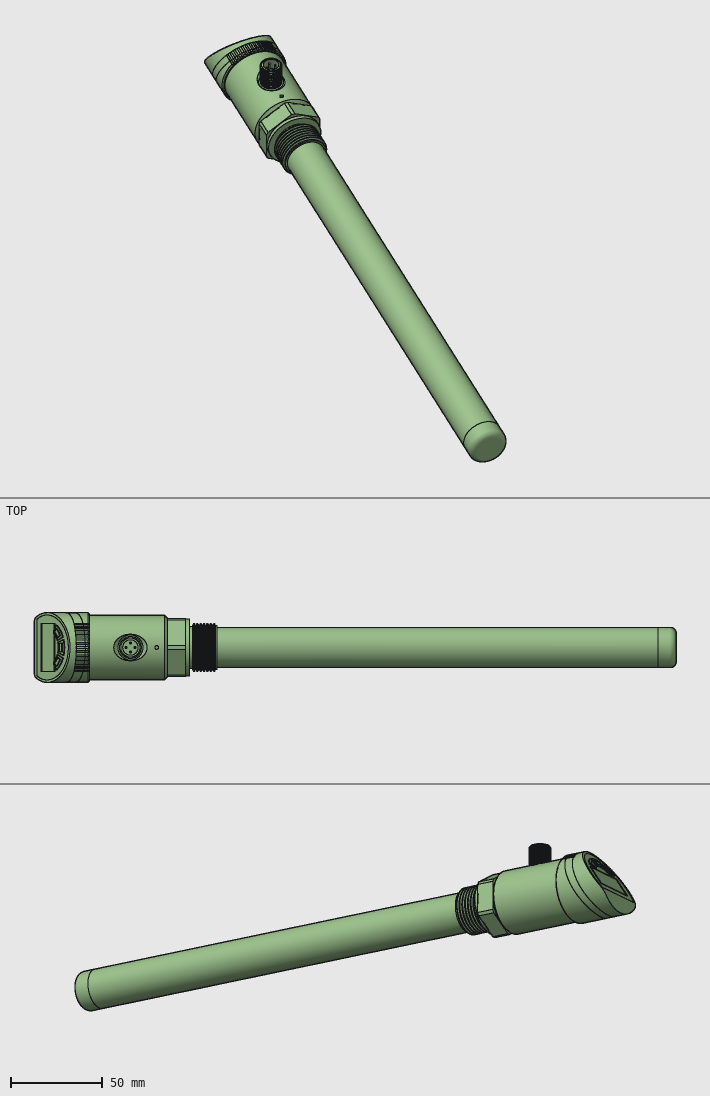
import cadquery as cq
import math

TOTAL_LENGTH = 350.0

HEAD_DIA = 38.0
HEAD_END = 30.0
SLOPE_BOTTOM_Z = -11.0
SLOPE_TOP_X = 19.5
NOSE_RADIUS = 9.8
COLLAR_CHAMFER = 0.7

BAND_REACH = 21.0
BAND_BOTTOM_X = 6.5
BAND_MIDDLE_X = 17.0
BAND_TOP_X = 23.5
BAND_WIDTH = 5.0

GRIP_COUNT = 13
GRIP_HALF_ANGLE = 42.0
GRIP_WIDTH = 1.0
GRIP_DEPTH = 0.5

PANEL_DIA = 35.5
PANEL_BOTTOM_Z = -8.5
PANEL_THICKNESS = 1.5
WINDOW_WIDTH = 26.0
WINDOW_BOTTOM_Z = -5.0
WINDOW_TOP_Z = 6.0
WINDOW_DEPTH = 0.5
BUTTON_RADIUS = 12.2
BUTTON_WIDTH = 5.0
BUTTON_SPAN = 34.0
BUTTON_SPACING = 40.0
BUTTON_HEIGHT = 0.5
PAD_WIDTH = 2.5
PAD_SPAN = 22.0
PAD_HEIGHT = 0.7

HOUSING_DIA = 35.5
HOUSING_END = 72.8
HOUSING_CHAMFER = 1.8
SEAT_X = 52.5
SEAT_FLOOR_DIA = 13.5
SEAT_RIM_DIA = 18.2
SEAT_Z = 15.8
VENT_X = 67.0
VENT_DIA = 2.0
VENT_DEPTH = 2.0

CONNECTOR_DIA = 12.0
CONNECTOR_ROOT_DIA = 10.5
CONNECTOR_TOP = 28.7
CONNECTOR_PITCH = 1.0
CONNECTOR_THREADS = 12
SOCKET_DIA = 8.5
SOCKET_DEPTH = 7.0
PIN_DIA = 1.0
PIN_CIRCLE_DIA = 5.0
PIN_COUNT = 4
PIN_HEIGHT = 5.5

HEX_END = 82.5
HEX_ACROSS_FLATS = 32.0
HEX_CORNER_DIA = 35.7
COLLAR_DIA = 31.0
COLLAR_END = 84.7
RELIEF_DIA = 23.0
THREAD_START = 86.5
THREAD_END = 99.8
THREAD_DIA = 26.2
THREAD_ROOT_DIA = 24.0
THREAD_PITCH = 1.82

CREST_FROM = 0.3
CREST_TO = 0.5
ROOT_FROM = 0.8

PROBE_DIA = 22.0
PLUG_START = 340.0
PLUG_ROUNDING = 3.5

HEAD_RADIUS = HEAD_DIA / 2
SLOPE_RUN = SLOPE_TOP_X / (HEAD_RADIUS - SLOPE_BOTTOM_Z)
SLOPE_STRETCH = math.hypot(1, SLOPE_RUN)
BEYOND = 2 * HEAD_DIA


def rod(diameter, start, end):
    """Cylinder on the main axis from X = start to X = end."""
    return cq.Workplane("YZ", origin=(start, 0, 0)).circle(diameter / 2).extrude(end - start)


def slope_layer(outer, inner):
    """Layer parallel to the sloped face; distances are measured inwards from that face."""
    axis_x = -SLOPE_BOTTOM_Z * SLOPE_RUN + outer * SLOPE_STRETCH
    width = (inner - outer) * SLOPE_STRETCH
    shift = SLOPE_RUN * BEYOND
    return (
        cq.Workplane("XZ")
        .moveTo(axis_x - shift, -BEYOND)
        .lineTo(axis_x + shift, BEYOND)
        .lineTo(axis_x + shift + width, BEYOND)
        .lineTo(axis_x - shift + width, -BEYOND)
        .close()
        .extrude(BEYOND, both=True)
    )


def behind_band_edge(offset):
    """Space to the right of the band's front edge moved by `offset` along X."""
    return (
        cq.Workplane("XZ")
        .moveTo(BAND_BOTTOM_X, -BAND_REACH)
        .threePointArc((BAND_MIDDLE_X, 0), (BAND_TOP_X, BAND_REACH))
        .lineTo(BEYOND, BAND_REACH)
        .lineTo(BEYOND, -BAND_REACH)
        .close()
        .extrude(BEYOND, both=True)
        .translate((offset, 0, 0))
    )


def head_blank():
    """Head cylinder with the sloped face and its rounded nose."""
    profile = (
        cq.Workplane("XZ")
        .moveTo(0, -HEAD_RADIUS)
        .lineTo(0, SLOPE_BOTTOM_Z)
        .lineTo(SLOPE_TOP_X, HEAD_RADIUS)
        .lineTo(HEAD_END, HEAD_RADIUS)
        .lineTo(HEAD_END, -HEAD_RADIUS)
        .close()
        .extrude(HEAD_RADIUS, both=True)
    )
    nose_edge = cq.selectors.NearestToPointSelector((0, 0, SLOPE_BOTTOM_Z))
    profile = profile.edges("|Y").edges(nose_edge).fillet(NOSE_RADIUS)
    cylinder = rod(HEAD_DIA, 0, HEAD_END).faces(">X").edges().chamfer(COLLAR_CHAMFER)
    return profile.intersect(cylinder)


def panel_prism():
    """Outline of the operating panel, running along X through the whole head."""
    keep = cq.Workplane("XY", origin=(0, 0, PANEL_BOTTOM_Z)).rect(BEYOND, BEYOND).extrude(HEAD_DIA)
    return rod(PANEL_DIA, 0, HEAD_END).intersect(keep)


def make_cap(head):
    recess = panel_prism().intersect(slope_layer(-PANEL_THICKNESS, PANEL_THICKNESS))
    return head.cut(behind_band_edge(0)).cut(recess)


def grip_grooves():
    """Axial grooves spread over the top of the head."""
    grooves = cq.Workplane("XY")
    for index in range(GRIP_COUNT):
        angle = GRIP_HALF_ANGLE * (2 * index / (GRIP_COUNT - 1) - 1)
        groove = (
            cq.Workplane("XY", origin=(0, 0, HEAD_RADIUS - GRIP_DEPTH))
            .rect(2 * HEAD_END, GRIP_WIDTH)
            .extrude(HEAD_RADIUS)
            .rotate((0, 0, 0), (1, 0, 0), angle)
        )
        grooves = grooves.add(groove)
    return grooves.combine()


def make_band(head, grooves):
    return head.intersect(behind_band_edge(0)).cut(behind_band_edge(BAND_WIDTH)).cut(grooves)


def make_collar(head, grooves):
    return head.intersect(behind_band_edge(BAND_WIDTH)).cut(grooves)


def ring_sector(angle, width, span):
    """Sector of the button ring, running along X; its middle is at `angle` from the top."""
    inner = BUTTON_RADIUS - width / 2
    outer = BUTTON_RADIUS + width / 2

    def at(radius, offset):
        turn = math.radians(angle + offset)
        return radius * math.sin(turn), radius * math.cos(turn)

    return (
        cq.Workplane("YZ")
        .moveTo(*at(inner, -span / 2))
        .threePointArc(at(inner, 0), at(inner, span / 2))
        .lineTo(*at(outer, span / 2))
        .threePointArc(at(outer, 0), at(outer, -span / 2))
        .close()
        .extrude(HEAD_END)
    )


def make_panel():
    panel = panel_prism().intersect(slope_layer(0, PANEL_THICKNESS))
    button_layer = slope_layer(-BUTTON_HEIGHT, PANEL_THICKNESS / 2)
    pad_layer = slope_layer(-PAD_HEIGHT, PANEL_THICKNESS / 2)
    for angle in (-BUTTON_SPACING, 0, BUTTON_SPACING):
        button = ring_sector(angle, BUTTON_WIDTH, BUTTON_SPAN).intersect(button_layer)
        pad = ring_sector(angle, PAD_WIDTH, PAD_SPAN).intersect(pad_layer)
        panel = panel.union(button).union(pad)
    window = (
        cq.Workplane("YZ", origin=(0, 0, (WINDOW_BOTTOM_Z + WINDOW_TOP_Z) / 2))
        .rect(WINDOW_WIDTH, WINDOW_TOP_Z - WINDOW_BOTTOM_Z)
        .extrude(HEAD_END)
    )
    return panel.cut(window.intersect(slope_layer(-PANEL_THICKNESS, WINDOW_DEPTH)))


def make_housing():
    body = rod(HOUSING_DIA, HEAD_END, HOUSING_END).faces(">X").edges().chamfer(HOUSING_CHAMFER)
    seat = (
        cq.Workplane("XY", origin=(SEAT_X, 0, SEAT_Z))
        .circle(SEAT_FLOOR_DIA / 2)
        .workplane(offset=HOUSING_DIA / 2 - SEAT_Z)
        .circle(SEAT_RIM_DIA / 2)
        .loft(ruled=True)
    )
    vent_floor = HOUSING_DIA / 2 - VENT_DEPTH
    vent = cq.Workplane("XY", origin=(VENT_X, 0, vent_floor)).circle(VENT_DIA / 2).extrude(HOUSING_DIA)
    return body.cut(seat).cut(vent)


def thread_profile(start_point, crest, root, pitch, count):
    """Points (distance along the axis, radius) of a cylinder with ring-shaped ridges."""
    points = []
    for index in range(count):
        base = start_point + index * pitch
        points.append((base, root))
        points.append((base + CREST_FROM * pitch, crest))
        points.append((base + CREST_TO * pitch, crest))
        points.append((base + ROOT_FROM * pitch, root))
    points.append((start_point + count * pitch, root))
    return points


def make_connector():
    ridges = thread_profile(
        SEAT_Z, CONNECTOR_DIA / 2, CONNECTOR_ROOT_DIA / 2, CONNECTOR_PITCH, CONNECTOR_THREADS
    )
    outline = [(0, SEAT_Z)] + [(radius, height) for height, radius in ridges]
    outline += [(CONNECTOR_ROOT_DIA / 2, CONNECTOR_TOP), (0, CONNECTOR_TOP)]
    shell = cq.Workplane("XZ").polyline(outline).close().revolve(360, (0, 0), (0, 1))
    socket = cq.Workplane("XY", origin=(0, 0, CONNECTOR_TOP)).circle(SOCKET_DIA / 2).extrude(-SOCKET_DEPTH)
    pins = (
        cq.Workplane("XY", origin=(0, 0, CONNECTOR_TOP - SOCKET_DEPTH))
        .polarArray(PIN_CIRCLE_DIA / 2, 0, 360, PIN_COUNT)
        .circle(PIN_DIA / 2)
        .extrude(PIN_HEIGHT)
    )
    return shell.cut(socket).union(pins).translate((SEAT_X, 0, 0))


def make_fitting():
    hexagon = (
        cq.Workplane("YZ", origin=(HOUSING_END, 0, 0))
        .polygon(6, HEX_ACROSS_FLATS / math.cos(math.pi / 6))
        .extrude(HEX_END - HOUSING_END)
        .rotate((0, 0, 0), (1, 0, 0), 90)
        .intersect(rod(HEX_CORNER_DIA, HOUSING_END, HEX_END))
    )
    collar = rod(COLLAR_DIA, HEX_END, COLLAR_END)
    relief = rod(RELIEF_DIA, COLLAR_END, THREAD_START)
    count = int((THREAD_END - THREAD_START) / THREAD_PITCH)
    ridges = thread_profile(THREAD_START, THREAD_DIA / 2, THREAD_ROOT_DIA / 2, THREAD_PITCH, count)
    outline = [(THREAD_START, 0)] + ridges + [(THREAD_END, THREAD_ROOT_DIA / 2), (THREAD_END, 0)]
    thread = cq.Workplane("XY").polyline(outline).close().revolve(360, (0, 0), (1, 0))
    return hexagon.union(collar).union(relief).union(thread)


def make_probe():
    return rod(PROBE_DIA, THREAD_END, PLUG_START)


def make_plug():
    return rod(PROBE_DIA, PLUG_START, TOTAL_LENGTH).faces(">X").edges().fillet(PLUG_ROUNDING)


head = head_blank()
grooves = grip_grooves()
cap = make_cap(head)
band = make_band(head, grooves)
collar = make_collar(head, grooves)
panel = make_panel()
housing = make_housing()
connector = make_connector()
fitting = make_fitting()
probe = make_probe()
plug = make_plug()

bodies = (cap, band, collar, panel, housing, connector, fitting, probe, plug)
result = cq.Compound.makeCompound([body.val() for body in bodies])